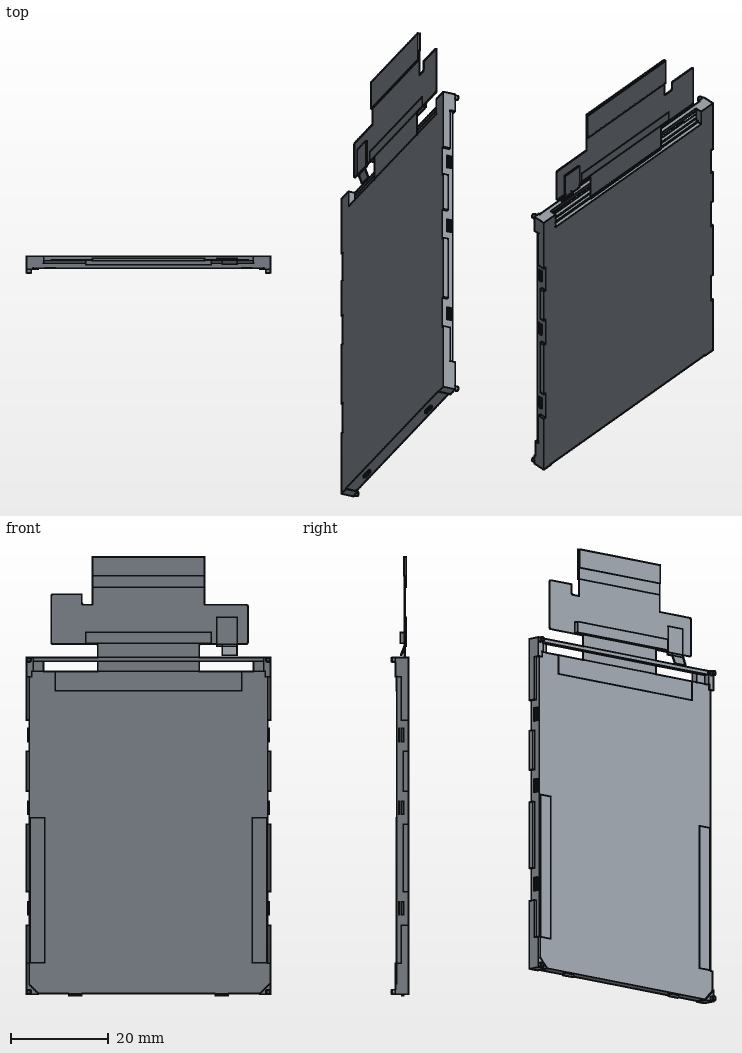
import cadquery as cq
import math

total_width = 50.0
total_height = 90.0
total_depth = 3.5
half_width = total_width / 2

panel_half_width = 24.5
panel_bottom = 0.45
panel_top = 66.5
panel_depth = 2.4
back_layer_depth = 0.9
back_layer_drop = 0.6
middle_layer_depth = 1.6
middle_layer_drop = 0.3

frame_bottom = 0.3
frame_top = 69.4
corner_depth = 2.7
top_corner_bottom = 65.4
bottom_corner_top = 6.7
clip_inner_x = 23.7
clip_lower_inner_x = 23.9
left_web_width = 2.4
right_web_width = 2.2
end_block_inner_x = 21.5
end_block_depth = 1.4
beam_height = 0.8
pin_diameter = 1.0
pin_chamfer = 0.135

outer_rail_depth = 1.5
middle_rail_depth = 1.1
side_rails = [
    (bottom_corner_top, 14.5, outer_rail_depth),
    (21.3, 35.2, middle_rail_depth),
    (41.9, 50.1, middle_rail_depth),
    (56.5, top_corner_bottom, outer_rail_depth),
]

lug_centers_z = [17.9, 38.5, 53.45]
lug_length = 2.7
lug_reach = 0.3
lug_ridges = [(1.0, 1.4), (1.8, 2.0)]
foot_center_x = 15.0
foot_length = 2.7
foot_front, foot_back = 1.4, 1.0

tape_thickness = 0.1
top_tape_half_width = 19.1
top_tape_bottom = 62.5
side_tape_inner_x, side_tape_outer_x = 21.2, 24.2
side_tape_bottom, side_tape_top = 6.75, 36.5

film_front = 0.855
film_thickness = 0.135
film_back = film_front - film_thickness
stem_half_width = 10.4
tail_half_width = 11.5
wing_bottom = 72.1
wing_top = 80.2
left_wing_top = 82.3
left_wing_x = -20.0
left_wing_inner_x = -13.7
right_wing_x = 20.4
film_corner_radius = 0.45
stem_corner_radius = 0.3
stem_overlap = 0.9

stiffener_bottom = 83.8
stiffener_thickness = 0.3
contact_bottom = 86.1
contact_thickness = 0.1
bar_half_width = 12.9
bar_bottom, bar_top = 72.3, 74.5
bar_front = 1.7
patch_left, patch_right = 13.95, 18.2
patch_bottom, patch_top = 71.6, 77.6
tab_left = 15.1
tab_bottom = 69.8
tab_front = 1.6
tab_thickness = 0.2


def block(x_min, x_max, front, back, z_min, z_max):
    """Box whose front and back are given as distances in front of the back face."""
    size = (x_max - x_min, front - back, z_max - z_min)
    return cq.Workplane("XY").box(*size, centered=False).translate((x_min, -front, z_min))


def both_sides(shape):
    return shape.union(shape.mirror("YZ"))


def make_panel():
    panel = block(-panel_half_width, panel_half_width, panel_depth, 0, panel_bottom, panel_top)
    for depth, drop in (
        (back_layer_depth, back_layer_drop),
        (middle_layer_depth, middle_layer_drop),
    ):
        step = block(-panel_half_width, panel_half_width, depth, 0, panel_top - drop, panel_top)
        panel = panel.cut(step)
    return panel


def make_tapes():
    front = panel_depth + tape_thickness
    top_tape = block(
        -top_tape_half_width, top_tape_half_width, front, panel_depth, top_tape_bottom, panel_top
    )
    side_tape = block(
        side_tape_inner_x, side_tape_outer_x, front, panel_depth, side_tape_bottom, side_tape_top
    )
    return top_tape.union(both_sides(side_tape))


def make_pin(z):
    radius = pin_diameter / 2
    return (
        cq.Workplane("XZ")
        .center(half_width - radius, z)
        .circle(radius)
        .extrude(total_depth)
        .faces("<Y")
        .chamfer(pin_chamfer)
    )


def make_top_frame():
    beam_bottom = frame_top - beam_height
    clip = block(
        clip_lower_inner_x, half_width, corner_depth, 0, top_corner_bottom, panel_top
    )
    clip = clip.union(block(clip_inner_x, half_width, corner_depth, 0, panel_top, frame_top))
    end_block = block(
        end_block_inner_x, half_width, end_block_depth, 0, panel_top - back_layer_drop, frame_top
    )
    beam = block(
        -clip_inner_x, clip_inner_x, panel_depth, end_block_depth, beam_bottom, frame_top
    )
    pin = make_pin(frame_top - pin_diameter / 2)
    return both_sides(clip.union(end_block).union(pin)).union(beam)


def make_bottom_corner(side_depth, web_width):
    """Right-hand bottom corner: a side wall, and a web sloping at 45 degrees over the panel."""
    side = block(panel_half_width, half_width, side_depth, 0, frame_bottom, bottom_corner_top)
    web_inner_x = half_width - web_width
    web = (
        cq.Workplane("XZ")
        .moveTo(web_inner_x, frame_bottom)
        .lineTo(half_width, frame_bottom)
        .lineTo(half_width, panel_bottom + web_width)
        .lineTo(web_inner_x, panel_bottom)
        .close()
        .extrude(corner_depth)
    )
    pin = make_pin(frame_bottom + pin_diameter / 2)
    return side.union(web).union(pin)


def make_bottom_corners():
    left = make_bottom_corner(corner_depth, left_web_width).mirror("YZ")
    right = make_bottom_corner(panel_depth, right_web_width)
    return left.union(right)


def make_side_rails():
    rails = cq.Workplane("XY")
    for bottom, top, depth in side_rails:
        rails = rails.union(block(panel_half_width, half_width, depth, 0, bottom, top))
    return both_sides(rails)


def make_lugs_and_feet():
    lugs = cq.Workplane("XY")
    for z in lug_centers_z:
        for back, front in lug_ridges:
            ridge = block(
                panel_half_width, panel_half_width + lug_reach,
                front, back, z - lug_length / 2, z + lug_length / 2,
            )
            lugs = lugs.union(ridge)
    foot = block(
        foot_center_x - foot_length / 2, foot_center_x + foot_length / 2,
        foot_front, foot_back, 0, panel_bottom,
    )
    return both_sides(lugs.union(foot))


def make_film():
    wings = (
        cq.Workplane("XZ", origin=(0, -film_back, 0))
        .moveTo(left_wing_x, wing_bottom)
        .lineTo(right_wing_x, wing_bottom)
        .lineTo(right_wing_x, wing_top)
        .lineTo(left_wing_inner_x, wing_top)
        .lineTo(left_wing_inner_x, left_wing_top)
        .lineTo(left_wing_x, left_wing_top)
        .close()
        .extrude(film_thickness)
        .edges("|Y and (<X or >X)")
        .fillet(film_corner_radius)
    )
    notch_corner = cq.selectors.NearestToPointSelector((left_wing_inner_x, -film_front, wing_top))
    wings = wings.edges("|Y").edges(notch_corner).fillet(film_corner_radius)
    tail = block(
        -tail_half_width, tail_half_width, film_front, film_back, wing_bottom, total_height
    )
    stem = block(
        -stem_half_width, stem_half_width,
        film_front, film_back, panel_top - stem_overlap, wing_bottom,
    )
    film = wings.union(tail).union(stem)
    for x in (-stem_half_width, stem_half_width):
        stem_corner = cq.selectors.NearestToPointSelector((x, -film_front, wing_bottom))
        film = film.edges("|Y").edges(stem_corner).fillet(stem_corner_radius)
    return film


def make_film_parts():
    mount_back = film_back - stiffener_thickness
    stiffener = block(
        -tail_half_width, tail_half_width, film_back, mount_back, stiffener_bottom, total_height
    )
    contacts = block(
        -tail_half_width, tail_half_width,
        film_front + contact_thickness, film_front, contact_bottom, total_height,
    )
    bar = block(-bar_half_width, bar_half_width, bar_front, film_front, bar_bottom, bar_top)
    patch = block(patch_left, patch_right, film_back, mount_back, patch_bottom, patch_top)
    slope_y = film_back - tab_front
    slope_z = tab_bottom - wing_bottom
    slope_length = math.hypot(slope_y, slope_z)
    back_y = -slope_z / slope_length * tab_thickness
    back_z = slope_y / slope_length * tab_thickness
    tab = (
        cq.Workplane("YZ", origin=(tab_left, 0, 0))
        .moveTo(-film_back, wing_bottom)
        .lineTo(-tab_front, tab_bottom)
        .lineTo(-tab_front + back_y, tab_bottom + back_z)
        .lineTo(-film_back + back_y, wing_bottom + back_z)
        .lineTo(-film_back + back_y, wing_bottom)
        .close()
        .extrude(patch_right - tab_left)
    )
    return stiffener.union(contacts).union(bar).union(patch).union(tab)


result = (
    make_panel()
    .union(make_tapes())
    .union(make_top_frame())
    .union(make_bottom_corners())
    .union(make_side_rails())
    .union(make_lugs_and_feet())
    .union(make_film())
    .union(make_film_parts())
)